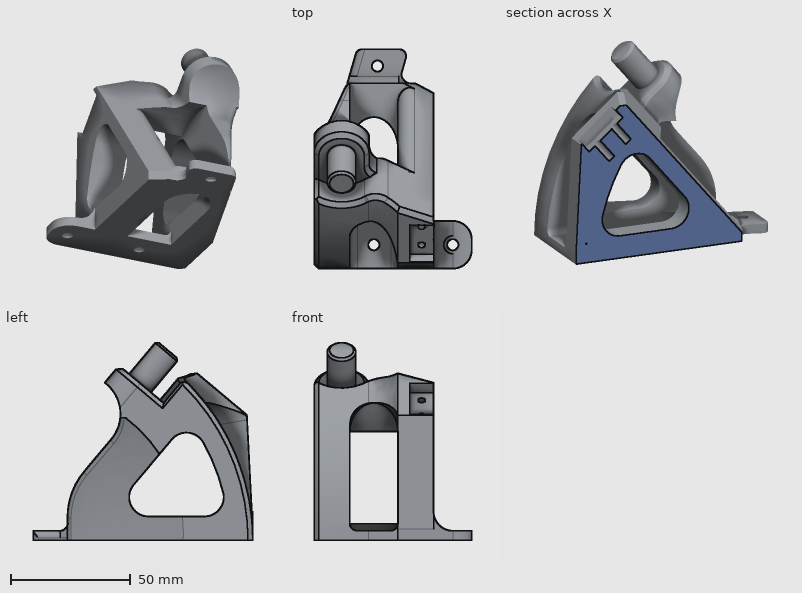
import cadquery as cq
import math


TILT = 40.0
SIN_T = math.sin(math.radians(TILT))
COS_T = math.cos(math.radians(TILT))
REACH = 100.0

SIDE_WALL = 15.0
SLOT_WIDTH = 20.0
SLOT_RIGHT = SIDE_WALL + SLOT_WIDTH
SLOT_RADIUS = SLOT_WIDTH / 2
SLOT_CENTRE = SIDE_WALL + SLOT_RADIUS
BODY_WIDTH = 50.0
BODY_BACK = 77.5
EDGE_CHAMFER = 2.0

FRONT_RADIUS = 93.0
BLEND_START = 22.7
BLEND_KNEE = 29.3
KNEE_SHARE = 0.25
BLEND_LOW_Z = 50.0
BLEND_TOP_Z = 78.0

POST_FOOT_Z = 4.8
POST_SEAT_S = 38.5
POST_SEAT_LOW_W = 35.5
POST_SEAT_TOP_W = 75.0

PIN_X = 11.5
PIN_W = 78.3
PIN_RADIUS = 6.0
PIN_END_S = 38.0
PIN_CHAMFER = 1.0
SEAT_S = 20.0
SEAT_RADIUS = 11.5
SEAT_FILLET = 5.0
SEAT_FILLET_X = PIN_X + SEAT_RADIUS + SEAT_FILLET
SEAT_FILLET_W = 72.0
SEAT_ROOT_W = 50.0
WALL_RADIUS = 16.0
HOLLOW_LIP_DROP = 1.1
SHOULDER_RADIUS = 10.0
ROOF_DROP = 0.407
ROOF_W_AT_RIGHT = 58.8

RIDGE_ZONE = ((EDGE_CHAMFER + 0.1, 18.0, 60.0), (BODY_WIDTH - 0.1, 33.0, 75.0))

LEG_W = 72.5
LEG_NECK_RADIUS = 16.4
LEG_NECK_S = -5.7
LEG_HEEL_RADIUS = 30.0
LEG_EDGE_FILLET = 2.0
TAPER_SLOPE = 0.287
TAPER_START = (29.2, 0.0)
TAPER_MIDDLE = (39.0, 36.0)
TAPER_END = (53.2, 51.2)

WINDOW_FLOOR = 10.0
WINDOW_FRONT_BAND = 10.0
WINDOW_W = 53.0
WINDOW_FILLET = 8.0

FLOOR_Z = 7.0
ARCH_FALL = 10.0
ARCH_AXIS_Z = 45.4
ARCH_AXIS = ((WINDOW_W - SIN_T * ARCH_AXIS_Z) / COS_T, ARCH_AXIS_Z)
UNDERSIDE_MIDDLE = (41.0, 49.0)
UNDERSIDE_END = (60.0, 48.0)
RIM_RADIUS = 5.0

FOOT_THICKNESS = 4.0
FOOT_DEPTH = 20.0
FOOT_END = 66.0
FOOT_RADIUS = 8.0
SCREW_DIAMETER = 4.6
SCREW_HEAD_RADIUS = 3.75
FRONT_SCREW_Y = FOOT_DEPTH / 2
PAD_FILLET = 3.0
TAB_END = 91.79
TAB_ROOT_X = 35.4
TAB_CORNER = 3.0
TAB_EDGE_FILLET = 3.0
TAB_NECK_RADIUS = 4.0
TAB_SCREW = (26.5, 84.7)

POCKET_LEFT = 39.9
POCKET_DEPTH = 5.0
POCKET_LOW_W = 36.1
POCKET_LENGTH = 20.0
SENSOR_HOLE_DIAMETER = 3.0
SENSOR_HOLE_DEPTH = 10.0
SENSOR_HOLE_STEPS = (5.0, 15.0)


def yz(s, w):
    """Y and Z of a point given in the tilted frame."""
    return (COS_T * w - SIN_T * s, SIN_T * w + COS_T * s)


def tilted_plane(s):
    """Plane square to the pin axis at height s; its local axes are X and w."""
    y, z = yz(s, 0)
    return cq.Workplane(cq.Plane(origin=(0, y, z), xDir=(1, 0, 0), normal=(0, -SIN_T, COS_T)))


def side_plane(x):
    """Plane square to X; its local axes are Y and Z."""
    return cq.Workplane("YZ", origin=(x, 0, 0))


def box(x0, x1, y0, y1, z0, z1):
    return cq.Workplane("XY").box(x1 - x0, y1 - y0, z1 - z0, centered=False).translate((x0, y0, z0))


def front_y(z):
    """Y of the curved front face at height z."""
    return FRONT_RADIUS - math.sqrt(FRONT_RADIUS ** 2 - z ** 2)


def roof_w(x):
    return ROOF_W_AT_RIGHT + ROOF_DROP * (BODY_WIDTH - x)


def taper_x(y):
    """X of the tapered left side at the underside."""
    return TAPER_SLOPE * (y - TAPER_START[0])


def mix(a, b, share):
    return (a[0] + share * (b[0] - a[0]), a[1] + share * (b[1] - a[1]))


def section(x, share):
    """Closed side section of the blend; share runs from 0 (curved wall) to 1 (straight post)."""
    mid_z = BLEND_LOW_Z / 2
    high_z = (BLEND_LOW_Z + BLEND_TOP_Z) / 2
    curved = [(front_y(z), z) for z in (mid_z, BLEND_LOW_Z, high_z, BLEND_TOP_Z)]
    base = (0, 0)
    seat_low = yz(POST_SEAT_S, POST_SEAT_LOW_W)
    seat_top = yz(POST_SEAT_S, POST_SEAT_TOP_W)
    straight = [mix(base, seat_low, 0.5), seat_low, mix(seat_low, seat_top, 0.5), seat_top]
    points = [mix(a, b, share) for a, b in zip(curved, straight)]
    line = side_plane(x).moveTo(*base)
    if share == 1:
        line = line.lineTo(*points[1]).lineTo(*points[3])
    else:
        line = line.threePointArc(points[0], points[1]).threePointArc(points[2], points[3])
    return line.lineTo(BODY_BACK, points[3][1]).lineTo(BODY_BACK, 0).close()


def left_wall():
    """Left wall and the region behind it, curved in front and chamfered along the left edge."""
    wall = (
        side_plane(0)
        .moveTo(0, 0)
        .threePointArc((front_y(BLEND_LOW_Z), BLEND_LOW_Z), (front_y(BLEND_TOP_Z), BLEND_TOP_Z))
        .lineTo(BODY_BACK, BLEND_TOP_Z)
        .lineTo(BODY_BACK, 0)
        .close()
        .extrude(BLEND_START)
    )
    front_edge = cq.selectors.NearestToPointSelector((0, front_y(BLEND_LOW_Z), BLEND_LOW_Z))
    return wall.edges(front_edge).chamfer(EDGE_CHAMFER)


def blend():
    """Smooth front blend from the curved wall out to the post."""
    stations = ((BLEND_START, 0), (BLEND_KNEE, KNEE_SHARE), (SLOT_RIGHT, 1))
    wires = [section(x, share).wires().val() for x, share in stations]
    return cq.Workplane(cq.Solid.makeLoft(wires, False))


def post():
    """Right wall, with the upright post front and its sloped seat."""
    seat_top = yz(POST_SEAT_S, POST_SEAT_TOP_W)
    return (
        side_plane(SLOT_RIGHT)
        .moveTo(0, 0)
        .lineTo(0, POST_FOOT_Z)
        .lineTo(*yz(POST_SEAT_S, POST_SEAT_LOW_W))
        .lineTo(*seat_top)
        .lineTo(BODY_BACK, seat_top[1])
        .lineTo(BODY_BACK, 0)
        .close()
        .extrude(BODY_WIDTH - SLOT_RIGHT)
    )


def envelope():
    """Wall, blend and post side by side, still without a roof."""
    return left_wall().union(blend()).union(post())


def roof():
    """Everything under the roof: hollow around the pin, rounded shoulder, then a falling plane."""
    roof_angle = math.atan(ROOF_DROP)
    along = (SHOULDER_RADIUS / math.cos(roof_angle))
    base_w = roof_w(PIN_X) - along - PIN_W
    spread = WALL_RADIUS + SHOULDER_RADIUS
    a = 1 + ROOF_DROP ** 2
    b = -2 * ROOF_DROP * base_w
    c = base_w ** 2 - spread ** 2
    dx = (-b + math.sqrt(b * b - 4 * a * c)) / (2 * a)
    shoulder = (PIN_X + dx, PIN_W + base_w - ROOF_DROP * dx)
    touch = mix((PIN_X, PIN_W), shoulder, WALL_RADIUS / spread)
    top = (shoulder[0], shoulder[1] + SHOULDER_RADIUS)
    roof_start = (shoulder[0] + SHOULDER_RADIUS * math.sin(roof_angle),
                  shoulder[1] + SHOULDER_RADIUS * math.cos(roof_angle))
    left_w = PIN_W - math.sqrt(WALL_RADIUS ** 2 - (PIN_X - EDGE_CHAMFER) ** 2)
    return (
        tilted_plane(-REACH)
        .moveTo(0, -REACH)
        .lineTo(0, left_w - HOLLOW_LIP_DROP)
        .lineTo(EDGE_CHAMFER, left_w)
        .threePointArc((PIN_X, PIN_W - WALL_RADIUS), touch)
        .threePointArc(top, roof_start)
        .lineTo(BODY_WIDTH, roof_w(BODY_WIDTH))
        .lineTo(BODY_WIDTH, -REACH)
        .close()
        .extrude(2 * REACH)
    )


def leg_outline():
    """Side outline of the seat block and the back leg."""
    neck_w = LEG_W + LEG_NECK_RADIUS
    diagonal = LEG_NECK_RADIUS * math.sqrt(0.5)
    heel_y = BODY_BACK - LEG_HEEL_RADIUS
    heel_z = (LEG_W - LEG_HEEL_RADIUS - COS_T * heel_y) / SIN_T
    half_tilt = math.radians(TILT / 2)
    heel_start = (heel_y + LEG_HEEL_RADIUS * COS_T, heel_z + LEG_HEEL_RADIUS * SIN_T)
    heel_middle = (heel_y + LEG_HEEL_RADIUS * math.cos(half_tilt),
                   heel_z + LEG_HEEL_RADIUS * math.sin(half_tilt))
    return (
        side_plane(0)
        .moveTo(*yz(SEAT_S, REACH))
        .lineTo(*yz(LEG_NECK_S + LEG_NECK_RADIUS, REACH))
        .lineTo(*yz(LEG_NECK_S + LEG_NECK_RADIUS, neck_w))
        .threePointArc(yz(LEG_NECK_S + diagonal, neck_w - diagonal), yz(LEG_NECK_S, LEG_W))
        .lineTo(*heel_start)
        .threePointArc(heel_middle, (BODY_BACK, heel_z))
        .lineTo(BODY_BACK, 0)
        .lineTo(40, 0)
        .lineTo(*yz(SEAT_S, SEAT_ROOT_W))
        .close()
        .extrude(BODY_WIDTH)
    )


def seat_and_leg():
    """Round-ended seat block running down into the back leg, chamfered around the seat."""
    right = PIN_X + SEAT_RADIUS
    bend = SEAT_FILLET * (1 - math.sqrt(0.5))
    block = (
        tilted_plane(-REACH)
        .moveTo(0, 0)
        .lineTo(0, PIN_W)
        .threePointArc((PIN_X, PIN_W + SEAT_RADIUS), (right, PIN_W))
        .lineTo(right, SEAT_FILLET_W)
        .threePointArc((right + bend, SEAT_FILLET_W - SEAT_FILLET + bend),
                       (SEAT_FILLET_X, SEAT_FILLET_W - SEAT_FILLET))
        .lineTo(SEAT_FILLET_X, 0)
        .close()
        .extrude(REACH + SEAT_S)
    )
    block = block.intersect(leg_outline())
    block = block.faces(cq.selectors.DirectionMinMaxSelector(cq.Vector(0, -SIN_T, COS_T))).edges()
    return block.chamfer(EDGE_CHAMFER)


def taper():
    """Cutter for the left side of the leg, swept along the slanted base line."""
    profile = (
        side_plane(0)
        .moveTo(TAPER_START[0], TAPER_START[1])
        .threePointArc(TAPER_MIDDLE, TAPER_END)
        .lineTo(REACH, TAPER_END[1])
        .lineTo(REACH, 0)
        .close()
        .wires().val()
    )
    sweep = cq.Vector(TAPER_SLOPE * REACH, REACH, 0)
    return cq.Workplane(cq.Solid.extrudeLinear(profile, [], sweep))


def side_window(width):
    """Rounded three-sided window through both side walls."""
    radius = FRONT_RADIUS - WINDOW_FRONT_BAND
    front_low = (FRONT_RADIUS - math.sqrt(radius ** 2 - WINDOW_FLOOR ** 2), WINDOW_FLOOR)
    back_low = ((WINDOW_W - SIN_T * WINDOW_FLOOR) / COS_T, WINDOW_FLOOR)
    reach_w = WINDOW_W - COS_T * FRONT_RADIUS
    apex_s = math.sqrt(radius ** 2 - reach_w ** 2) - SIN_T * FRONT_RADIUS
    apex = yz(apex_s, WINDOW_W)
    mid_z = apex[1] / 2
    middle = (FRONT_RADIUS - math.sqrt(radius ** 2 - mid_z ** 2), mid_z)
    return (
        side_plane(0)
        .moveTo(*front_low)
        .threePointArc(middle, apex)
        .lineTo(*back_low)
        .close()
        .extrude(width)
        .edges("|X")
        .fillet(WINDOW_FILLET)
    )


def below_window_side():
    """Everything in front of the sloped back side shared by the window and the slot."""
    return tilted_plane(-REACH).rect(2 * REACH, 2 * REACH).extrude(2 * REACH).translate(
        (0, COS_T * (WINDOW_W - REACH), SIN_T * (WINDOW_W - REACH)))


def arch_slot():
    """Arched slot entered from the front, closed at its top by the sloped back side."""
    fall = math.radians(ARCH_FALL)
    start = (ARCH_AXIS[0] - REACH * math.cos(fall), ARCH_AXIS[1] + REACH * math.sin(fall))
    plane = cq.Plane(origin=(SLOT_CENTRE, *start), xDir=(1, 0, 0),
                     normal=(0, math.cos(fall), -math.sin(fall)))
    arch = (
        cq.Workplane(plane)
        .moveTo(-SLOT_RADIUS, REACH)
        .lineTo(-SLOT_RADIUS, 0)
        .threePointArc((0, -SLOT_RADIUS), (SLOT_RADIUS, 0))
        .lineTo(SLOT_RADIUS, REACH)
        .close()
        .extrude(2 * REACH)
    )
    channel = box(SIDE_WALL, SLOT_RIGHT, -REACH, FOOT_DEPTH, FOOT_THICKNESS, REACH)
    channel = channel.edges("|Y and <Z").fillet(PAD_FILLET)
    channel = channel.union(box(SIDE_WALL, SLOT_RIGHT, 0, REACH, FLOOR_Z, REACH))
    return arch.intersect(channel).intersect(below_window_side())


def floor_opening():
    """Round-ended opening through the floor, parallel to the pin axis."""
    arch = (
        tilted_plane(-REACH)
        .moveTo(SIDE_WALL, -REACH)
        .lineTo(SIDE_WALL, WINDOW_W - SLOT_RADIUS)
        .threePointArc((SLOT_CENTRE, WINDOW_W), (SLOT_RIGHT, WINDOW_W - SLOT_RADIUS))
        .lineTo(SLOT_RIGHT, -REACH)
        .close()
        .extrude(2 * REACH)
    )
    return arch.intersect(box(0, BODY_WIDTH, FOOT_DEPTH, BODY_BACK, -1, FLOOR_Z + 1))


def leg_slot():
    """Slot that parts the leg from the right wall and rounds the wall's rim."""
    roof_angle = math.atan(ROOF_DROP)
    rim_x = SLOT_RIGHT + RIM_RADIUS
    rim_w = roof_w(rim_x) - RIM_RADIUS / math.cos(roof_angle)
    middle_angle = (math.pi + math.pi / 2 - roof_angle) / 2
    middle = (rim_x + RIM_RADIUS * math.cos(middle_angle), rim_w + RIM_RADIUS * math.sin(middle_angle))
    rim_end = (rim_x + RIM_RADIUS * math.sin(roof_angle), rim_w + RIM_RADIUS * math.cos(roof_angle))
    slot = (
        tilted_plane(-REACH)
        .moveTo(SIDE_WALL, WINDOW_W)
        .lineTo(SIDE_WALL, REACH)
        .lineTo(rim_end[0], REACH)
        .lineTo(*rim_end)
        .threePointArc(middle, (SLOT_RIGHT, rim_w))
        .lineTo(SLOT_RIGHT, WINDOW_W)
        .close()
        .extrude(2 * REACH)
    )
    opening = (
        side_plane(0)
        .moveTo(ARCH_AXIS[0], FLOOR_Z)
        .lineTo(*ARCH_AXIS)
        .threePointArc(UNDERSIDE_MIDDLE, UNDERSIDE_END)
        .lineTo(REACH, UNDERSIDE_END[1])
        .lineTo(REACH, FLOOR_Z)
        .close()
        .extrude(BODY_WIDTH)
    )
    return slot.intersect(opening)


def back_right_trim():
    """Offcut behind the right wall, where the roof comes down to the foot thickness."""
    def rear(x):
        return (roof_w(x) - SIN_T * FOOT_THICKNESS) / COS_T

    near_x = BODY_WIDTH - (BODY_BACK - rear(BODY_WIDTH)) * COS_T / ROOF_DROP
    return (
        cq.Workplane("XY")
        .moveTo(near_x, BODY_BACK)
        .lineTo(BODY_WIDTH, rear(BODY_WIDTH))
        .lineTo(BODY_WIDTH, BODY_BACK)
        .close()
        .extrude(FOOT_THICKNESS)
    )


def back_tab():
    """Slanted screw tab behind the leg."""
    right_end = TAB_ROOT_X + TAPER_SLOPE * (TAB_END - BODY_BACK)
    tab = (
        cq.Workplane("XY")
        .moveTo(taper_x(BODY_BACK), BODY_BACK)
        .lineTo(taper_x(TAB_END), TAB_END)
        .lineTo(right_end, TAB_END)
        .lineTo(TAB_ROOT_X, BODY_BACK)
        .close()
        .extrude(FOOT_THICKNESS)
    )
    rounded_plan = tab.edges("|Z and >Y").fillet(TAB_CORNER)
    left_edge = cq.selectors.NearestToPointSelector((taper_x(TAB_SCREW[1]), TAB_SCREW[1], FOOT_THICKNESS))
    tab = tab.edges(left_edge).fillet(TAB_EDGE_FILLET)
    tab = tab.intersect(rounded_plan)
    neck_x = TAB_ROOT_X + TAPER_SLOPE * TAB_NECK_RADIUS
    neck_y = BODY_BACK + TAB_NECK_RADIUS
    neck = box(TAB_ROOT_X - 1, neck_x + TAB_NECK_RADIUS, BODY_BACK, neck_y, 0, FOOT_THICKNESS)
    neck = neck.cut(
        cq.Workplane("XY")
        .center(neck_x + TAB_NECK_RADIUS, neck_y)
        .circle(TAB_NECK_RADIUS)
        .extrude(FOOT_THICKNESS)
    )
    root_radius = FLOOR_Z - FOOT_THICKNESS
    bend = root_radius * (1 - math.sqrt(0.5))
    root = (
        side_plane(0)
        .moveTo(BODY_BACK, 0)
        .lineTo(BODY_BACK, FLOOR_Z)
        .threePointArc((BODY_BACK + bend, FOOT_THICKNESS + bend), (BODY_BACK + root_radius, FOOT_THICKNESS))
        .lineTo(BODY_BACK + root_radius, 0)
        .close()
        .extrude(TAB_ROOT_X)
    )
    return tab.union(neck).union(root.cut(taper()))


def side_foot():
    """Screw foot on the right, blended up into the post."""
    foot = box(BODY_WIDTH - 1, FOOT_END, 0, FOOT_DEPTH, 0, FOOT_THICKNESS)
    foot = foot.edges("|Z and >X").fillet(FOOT_RADIUS)
    blend_end = BODY_WIDTH + FOOT_RADIUS
    blend_top = FOOT_THICKNESS + FOOT_RADIUS
    rise = box(BODY_WIDTH, blend_end, 0, FOOT_DEPTH, FOOT_THICKNESS, blend_top)
    rise = rise.cut(
        cq.Workplane("XZ", origin=(blend_end, 0, blend_top)).circle(FOOT_RADIUS).extrude(-FOOT_DEPTH))
    head = cq.Workplane("XY", origin=(blend_end, FRONT_SCREW_Y, FOOT_THICKNESS))
    head = head.circle(SCREW_HEAD_RADIUS).extrude(REACH)
    return foot.union(rise).cut(head)


def screw_holes():
    places = [(SLOT_CENTRE, FRONT_SCREW_Y), (BODY_WIDTH + FOOT_RADIUS, FRONT_SCREW_Y), TAB_SCREW]
    return cq.Workplane("XY").pushPoints(places).circle(SCREW_DIAMETER / 2).extrude(FOOT_THICKNESS)


def sensor_pocket():
    """Pocket in the post's seat, open to the right, with two screw holes in its floor."""
    floor_s = POST_SEAT_S - POCKET_DEPTH
    width = BODY_WIDTH - POCKET_LEFT
    pocket = (
        tilted_plane(floor_s)
        .center(POCKET_LEFT + width / 2, POCKET_LOW_W + POCKET_LENGTH / 2)
        .rect(width, POCKET_LENGTH)
        .extrude(2 * POCKET_DEPTH)
    )
    places = [(POCKET_LEFT + width / 2, POCKET_LOW_W + step) for step in SENSOR_HOLE_STEPS]
    holes = tilted_plane(floor_s - SENSOR_HOLE_DEPTH).pushPoints(places)
    return pocket.union(holes.circle(SENSOR_HOLE_DIAMETER / 2).extrude(SENSOR_HOLE_DEPTH))


def pin():
    shaft = tilted_plane(SEAT_S - 1).center(PIN_X, PIN_W).circle(PIN_RADIUS).extrude(PIN_END_S - SEAT_S + 1)
    tip = cq.selectors.DirectionMinMaxSelector(cq.Vector(0, -SIN_T, COS_T))
    return shaft.faces(tip).chamfer(PIN_CHAMFER)


def body():
    """Wall, blend and post under the roof, with the front ridge chamfered."""
    solid = envelope().intersect(roof())
    ridge = cq.selectors.BoxSelector(*RIDGE_ZONE)
    return solid.edges(ridge).chamfer(EDGE_CHAMFER)


def tapered_body():
    """Body, seat and leg, narrowed toward the back and rounded along the leg's left edge."""
    solid = body().union(seat_and_leg()).cut(taper())
    slope = yz(2 * LEG_NECK_S, LEG_W)
    back_edge = cq.selectors.NearestToPointSelector((TAPER_SLOPE * (slope[0] - 40), *slope))
    return solid.edges(back_edge).fillet(LEG_EDGE_FILLET)


result = tapered_body()
result = result.cut(arch_slot()).cut(floor_opening()).cut(leg_slot()).cut(back_right_trim())
result = result.union(side_foot()).cut(side_window(FOOT_END)).union(back_tab())
result = result.cut(screw_holes()).cut(sensor_pocket()).union(pin())